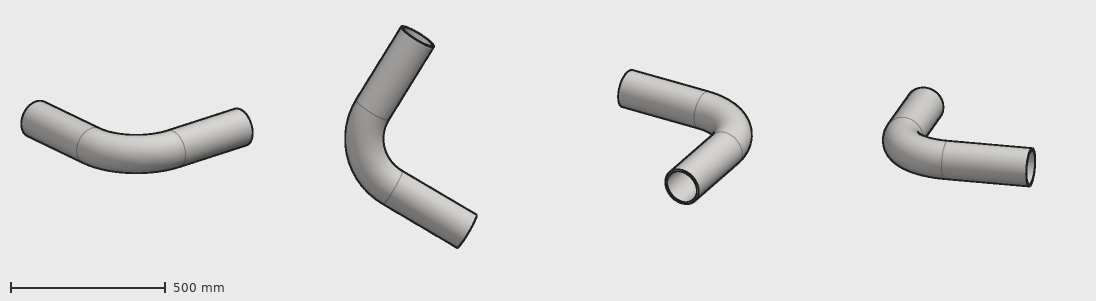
import cadquery as cq

overall_length = 532.5
outer_diameter = 125.0
inner_diameter = 110.0
bend_ratio = 1.5

outer_radius = outer_diameter / 2
bend_radius = bend_ratio * outer_diameter
leg_length = overall_length - outer_radius - bend_radius


def pipe_ring(plane):
    """Sketch the annular pipe section on a plane normal to the centreline."""
    return cq.Workplane(plane).circle(outer_radius).circle(inner_diameter / 2)


x_leg = pipe_ring("YZ").extrude(leg_length)

elbow = (
    pipe_ring(cq.Plane(origin=(leg_length, 0, 0), xDir=(0, 1, 0), normal=(1, 0, 0)))
    .revolve(90, (bend_radius, 0), (bend_radius, 1))
)

y_leg_start = cq.Plane(
    origin=(leg_length + bend_radius, bend_radius, 0), xDir=(1, 0, 0), normal=(0, 1, 0)
)
y_leg = pipe_ring(y_leg_start).extrude(leg_length)

result = x_leg.union(elbow).union(y_leg)